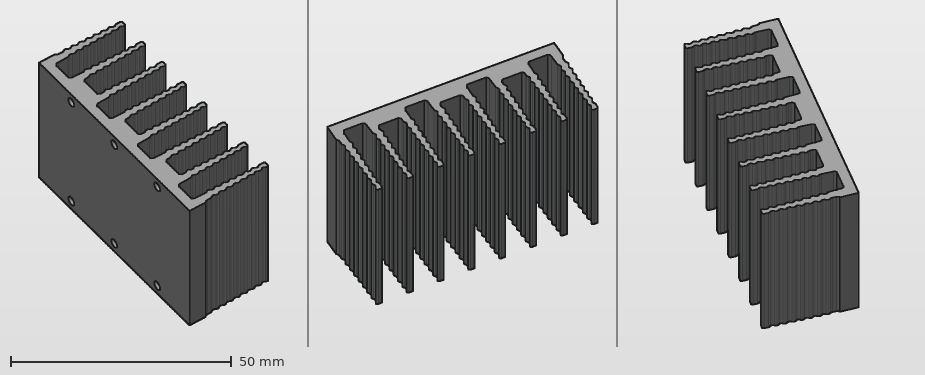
import cadquery as cq
import math

width = 57.9
height = 22.9
length = 37.35

fin_count = 8
fin_row_span = 55.0
fin_pitch = fin_row_span / (fin_count - 1)
fin_slope = math.tan(math.radians(1.5))

ripple_start = 6.25
ripple_top = 22.5
ripple_start_width = 2.0
ripple_depth = 0.38
right_arc_count = 16
left_arc_count = right_arc_count - 1
half_pitch = (ripple_top - ripple_start) / right_arc_count
arc_rise = ripple_depth / 2
arc_half_chord = half_pitch / 2
ripple_radius = (arc_half_chord**2 + arc_rise**2) / (2 * arc_rise)

tip_radius = height - ripple_top

deep_floor = 2.65
shallow_floor = 4.9
shoulder_floor = 4.5
root_rise = 0.75
root_run = 0.45
root_radius = (root_rise**2 + root_run**2) / (2 * root_run)

hole_diameter = 2.25
hole_depth = 3.5
hole_pitch_x = 16.5
hole_pitch_z = 32.2


def fin_center(index):
    """X of a fin's middle; indexes beyond the row give the spaces outside the end fins."""
    return (index - (fin_count - 1) / 2) * fin_pitch


def half_thickness(y):
    """Half the drafted fin thickness at height y."""
    return ripple_start_width / 2 + (ripple_start - y) * fin_slope


def channel(index, floor):
    """Space between fin index and the next one, from its floor up to the ripples."""
    left = fin_center(index)
    right = fin_center(index + 1)
    root_top = floor + root_rise
    wall_inset = half_thickness(root_top)
    floor_inset = wall_inset + root_run
    mouth_inset = half_thickness(ripple_start)
    return (
        cq.Workplane("XY")
        .moveTo(left + mouth_inset, ripple_start)
        .lineTo(left + wall_inset, root_top)
        .radiusArc((left + floor_inset, floor), -root_radius)
        .lineTo(right - floor_inset, floor)
        .radiusArc((right - wall_inset, root_top), -root_radius)
        .lineTo(right - mouth_inset, ripple_start)
        .close()
        .extrude(length)
    )


def ripple_points(side, arc_count):
    """Arc ends from the first apex, through the inflections, to the last apex.

    The left side (-1) bulges out of the drafted wall, the right side (+1) dips into it.
    """
    last_apex = arc_count * half_pitch
    rises = [0.0]
    rises += [(step + 0.5) * half_pitch for step in range(arc_count)]
    rises.append(last_apex)
    points = []
    for rise in rises:
        shift = -arc_rise * (1 - math.cos(math.pi * rise / half_pitch))
        y = ripple_start + rise
        points.append((side * half_thickness(y) + shift, y))
    return points


def add_ripples(sketch, points, first_bend):
    """Continue the sketch through the points with arcs that bend alternately."""
    bend = first_bend
    for point in points[1:]:
        sketch = sketch.radiusArc(point, bend * ripple_radius)
        bend = -bend
    return sketch


def fin_profile():
    """Closed outline of one fin above the ripple start, centred on X = 0."""
    left = ripple_points(-1, left_arc_count)
    right = ripple_points(1, right_arc_count)[::-1]
    tip_left = -half_thickness(ripple_top) - ripple_depth
    tip_right = right[0][0]

    sketch = cq.Workplane("XY").moveTo(*left[0])
    sketch = add_ripples(sketch, left, -1)
    sketch = sketch.lineTo(tip_left, ripple_top)
    sketch = sketch.radiusArc((tip_left + tip_radius, height), tip_radius)
    sketch = sketch.lineTo(tip_right - tip_radius, height)
    sketch = sketch.radiusArc(right[0], tip_radius)
    sketch = add_ripples(sketch, right, 1)
    return sketch.close()


base = cq.Workplane("XY").box(width, ripple_start, length, centered=(True, False, False))
for index in range(fin_count - 1):
    floor = deep_floor if index % 2 == 0 else shallow_floor
    base = base.cut(channel(index, floor))
for outside_index in (-1, fin_count - 1):
    base = base.cut(channel(outside_index, shoulder_floor))

finned_base = base
fin = fin_profile().extrude(length)
for index in range(fin_count):
    finned_base = finned_base.union(fin.translate((fin_center(index), 0, 0)))

holes = (
    cq.Workplane("XZ", origin=(0, 0, length / 2))
    .rarray(hole_pitch_x, hole_pitch_z, 3, 2)
    .circle(hole_diameter / 2)
    .extrude(-hole_depth)
)
result = finned_base.cut(holes)